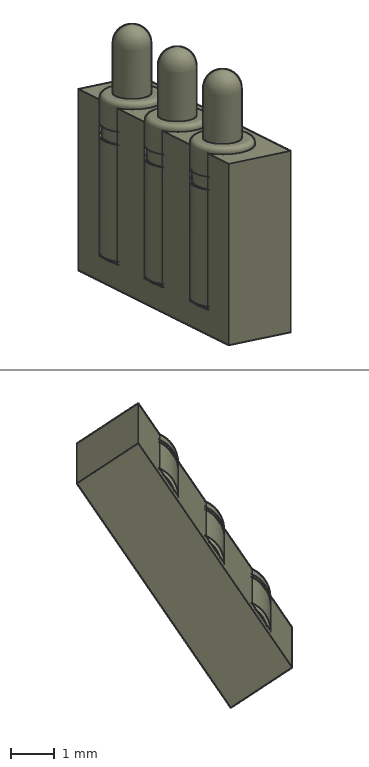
import cadquery as cq

housing_length = 6.34
housing_depth = 1.7
housing_height = 4.4

pin_count = 3
pin_pitch = 1.9
barrel_radius = 0.751
barrel_protrusion = 0.1
pin_axis_y = barrel_radius - barrel_protrusion
barrel_bottom_z = 0.61
barrel_chamfer = 0.075
rim_height = 0.15
rim_fillet = 0.125
barrel_top_z = housing_height + rim_height

groove_width = 0.32
groove_depth = 0.05
groove_top_z = housing_height - 0.57

plunger_radius = 0.45
plunger_top_z = 6.2

first_pin_x = -pin_pitch * (pin_count - 1) / 2
pin_positions = [(first_pin_x + i * pin_pitch, pin_axis_y) for i in range(pin_count)]


def make_housing():
    """Block with a blind bore per pin, each breaking through the front face."""
    block = cq.Workplane("XY").box(
        housing_length, housing_depth, housing_height, centered=(True, False, False)
    )
    bores = (
        cq.Workplane("XY", origin=(0, 0, barrel_bottom_z))
        .pushPoints(pin_positions)
        .circle(barrel_radius)
        .extrude(housing_height - barrel_bottom_z)
    )
    return block.cut(bores)


def make_barrel():
    """Barrel on the Z axis with a rounded rim, chamfered foot and outer groove."""
    barrel = (
        cq.Workplane("XY", origin=(0, 0, barrel_bottom_z))
        .circle(barrel_radius)
        .extrude(barrel_top_z - barrel_bottom_z)
        .faces(">Z").edges().fillet(rim_fillet)
        .faces("<Z").edges().chamfer(barrel_chamfer)
    )
    groove = (
        cq.Workplane("XY", origin=(0, 0, groove_top_z - groove_width))
        .circle(barrel_radius)
        .circle(barrel_radius - groove_depth)
        .extrude(groove_width)
    )
    return barrel.cut(groove)


def make_plunger():
    """Cylinder on the barrel top, ending in a hemisphere."""
    dome_center_z = plunger_top_z - plunger_radius
    shaft = (
        cq.Workplane("XY", origin=(0, 0, barrel_top_z))
        .circle(plunger_radius)
        .extrude(dome_center_z - barrel_top_z)
    )
    dome = cq.Workplane("XY", origin=(0, 0, dome_center_z)).sphere(plunger_radius)
    return shaft.union(dome)


def make_pin(x, y):
    """One complete pin, moved to its place in the housing."""
    return make_barrel().union(make_plunger()).translate((x, y, 0))


housing = make_housing()
pins = [make_pin(x, y) for x, y in pin_positions]

result = cq.Compound.makeCompound([housing.val(), *[pin.val() for pin in pins]])